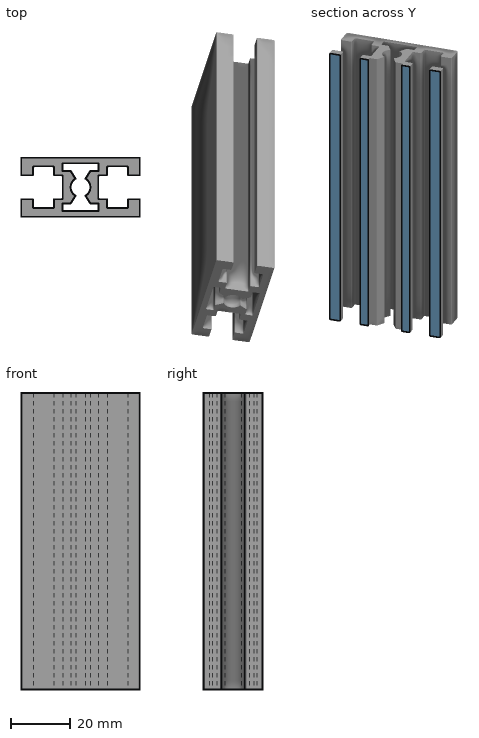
import cadquery as cq
import math

width = 40.0
depth = 20.0
length = 100.0

mouth_width = 8.0
lip_length = 4.0
undercut_end = 11.0
undercut_width = 14.0
slot_depth = 14.0
edge_radius = 0.3

cavity_width = 12.0
cavity_depth = 16.0
web_half_height = 5.5
bore_radius = 3.3
web_corner_radius = 0.5
neck_angle = math.radians(60)
shoulder_x = 3.3


def make_bar():
    """Solid bar with slightly rounded long edges, centred in X and Y."""
    bar = cq.Workplane("XY").rect(width, depth).extrude(length)
    return bar.edges("|Z").fillet(edge_radius)


def round_edge_at(body, x, y, radius):
    """Round the long edge that stands at (x, y)."""
    nearest = cq.selectors.NearestToPointSelector((x, y, length / 2))
    return body.edges(nearest).fillet(radius)


def make_slot(side):
    """T-slot cutter for the -X (side = -1) or +X (side = 1) face."""
    mouth = (
        cq.Workplane("XY")
        .center(side * (width - slot_depth) / 2, 0)
        .rect(slot_depth, mouth_width)
        .extrude(length)
    )
    floor_face = "<X" if side > 0 else ">X"
    mouth = mouth.faces(floor_face).edges("|Z").fillet(edge_radius)

    undercut_centre = width / 2 - (lip_length + undercut_end) / 2
    undercut = (
        cq.Workplane("XY")
        .center(side * undercut_centre, 0)
        .rect(undercut_end - lip_length, undercut_width)
        .extrude(length)
    )
    undercut = undercut.edges("|Z").fillet(edge_radius)
    return mouth.union(undercut)


def round_slot_edges(body):
    """Round every projecting edge where a slot meets the side face or its undercut."""
    edge_x = (width / 2, width / 2 - lip_length, width / 2 - undercut_end)
    for side in (-1, 1):
        for half in (-1, 1):
            for x in edge_x:
                body = round_edge_at(body, side * x, half * mouth_width / 2, edge_radius)
    return body


def round_web_edges(body):
    """Round the corners where the web shoulders turn into the flanks."""
    for side in (-1, 1):
        for half in (-1, 1):
            body = round_edge_at(body, side * shoulder_x, half * web_half_height, web_corner_radius)
    return body


def make_cavity():
    """Cavity cutter: a pocket behind each flange, joined by flared necks and a round bore."""
    pocket_x = cavity_width / 2
    pocket_y = cavity_depth / 2
    neck_x = bore_radius * math.cos(neck_angle)
    neck_y = bore_radius * math.sin(neck_angle)
    return (
        cq.Workplane("XY")
        .moveTo(-pocket_x, pocket_y)
        .lineTo(pocket_x, pocket_y)
        .lineTo(pocket_x, web_half_height)
        .lineTo(shoulder_x, web_half_height)
        .lineTo(neck_x, neck_y)
        .threePointArc((bore_radius, 0), (neck_x, -neck_y))
        .lineTo(shoulder_x, -web_half_height)
        .lineTo(pocket_x, -web_half_height)
        .lineTo(pocket_x, -pocket_y)
        .lineTo(-pocket_x, -pocket_y)
        .lineTo(-pocket_x, -web_half_height)
        .lineTo(-shoulder_x, -web_half_height)
        .lineTo(-neck_x, -neck_y)
        .threePointArc((-bore_radius, 0), (-neck_x, neck_y))
        .lineTo(-shoulder_x, web_half_height)
        .lineTo(-pocket_x, web_half_height)
        .close()
        .extrude(length)
    )


profile = make_bar()
for slot_side in (-1, 1):
    profile = profile.cut(make_slot(slot_side))
profile = round_slot_edges(profile)
profile = profile.cut(make_cavity())
result = round_web_edges(profile)